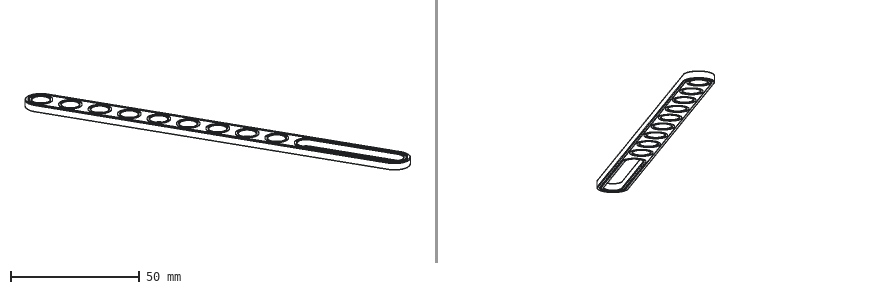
import cadquery as cq

length = 162.5
length_in_pitches = 13
pitch = length / length_in_pitches
width = pitch
thickness = 3.1

hole_count = 9
hole_diameter = 7.0
slot_travel_in_pitches = 3
slot_travel = slot_travel_in_pitches * pitch

rim_width = 1.1
recess_depth = 0.2
edge_chamfer = 0.3

first_hole_x = (pitch - length) / 2
hole_centers = [(first_hole_x + i * pitch, 0) for i in range(hole_count)]
slot_center_x = first_hole_x + hole_count * pitch + slot_travel / 2


def round_ended_bar(bar_length, bar_width, height):
    """Bar with full-round ends, standing on the XY plane."""
    return cq.Workplane("XY").slot2D(bar_length, bar_width).extrude(height)


def opening_columns(diameter, height):
    """Solid columns that follow every hole and the slot, all of one width."""
    holes = cq.Workplane("XY").pushPoints(hole_centers).circle(diameter / 2).extrude(height)
    slot = round_ended_bar(slot_travel + diameter, diameter, height)
    return holes.union(slot.translate((slot_center_x, 0, 0)))


def face_recess():
    """Material removed from a face between the edge rim and the opening rims."""
    inside = round_ended_bar(length - 2 * rim_width, width - 2 * rim_width, recess_depth)
    return inside.cut(opening_columns(hole_diameter + 2 * rim_width, recess_depth))


plate = round_ended_bar(length, width, thickness)
plate = plate.cut(opening_columns(hole_diameter, thickness))
plate = plate.faces("<Z or >Z").edges().chamfer(edge_chamfer)

for recess_base in (0, thickness - recess_depth):
    plate = plate.cut(face_recess().translate((0, 0, recess_base)))

result = plate.translate((0, 0, -thickness / 2))